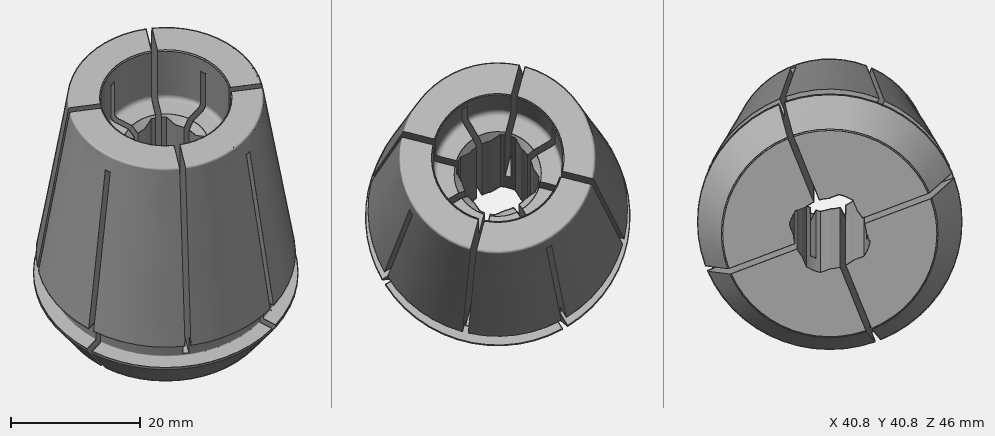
import cadquery as cq
import math

height = 46.0
flange_diameter = 40.8
flange_radius = flange_diameter / 2

base_radius = 16.65
base_edge_chamfer = 0.15
flange_top = 7.05
flange_rim_height = 0.5

groove_radius = 18.1
groove_top = 11.2
groove_top_fillet = 0.35
groove_bottom_fillet = 0.2

taper_base_radius = 20.0
taper_half_angle = 8.0
top_edge_fillet = 0.4

bore_radius = 10.05
bore_floor = 35.3
bore_floor_fillet = 0.85
bore_mouth_chamfer = 0.2

lead_in_radius = 6.7
lead_in_slope = 45.0
hole_radius = 5.6
square_width = 10.6
square_corner_radius = 6.4

slit_width = 0.9
lower_slit_top = 42.95
upper_slit_floor = 7.55
slit_length = flange_diameter + slit_width

select_margin = 0.005

taper_height = height - groove_top
taper_top_radius = taper_base_radius - taper_height * math.tan(math.radians(taper_half_angle))
lead_in_depth = (lead_in_radius - hole_radius) * math.tan(math.radians(lead_in_slope))


def ring_edges(body, radius, z):
    """Select the circular edge of the given radius, centred on the axis, at height z."""
    def boxed(half_width):
        low = (-half_width, -half_width, z - select_margin)
        high = (half_width, half_width, z + select_margin)
        return cq.selectors.BoxSelector(low, high, boundingbox=True)

    return body.edges(boxed(radius + select_margin) - boxed(radius - select_margin))


def turned_body():
    """Revolve the collet: flange, groove, taper, upper bore and conical lead-in."""
    profile = (
        cq.Workplane("XZ")
        .moveTo(hole_radius, 0)
        .lineTo(base_radius, 0)
        .lineTo(flange_radius, flange_top - flange_rim_height)
        .lineTo(flange_radius, flange_top)
        .lineTo(groove_radius, flange_top)
        .lineTo(groove_radius, groove_top)
        .lineTo(taper_base_radius, groove_top)
        .lineTo(taper_top_radius, height)
        .lineTo(bore_radius, height)
        .lineTo(bore_radius, bore_floor)
        .lineTo(lead_in_radius, bore_floor)
        .lineTo(hole_radius, bore_floor - lead_in_depth)
        .close()
    )
    body = profile.revolve(360, (0, 0, 0), (0, 1, 0))
    body = ring_edges(body, base_radius, 0).chamfer(base_edge_chamfer)
    body = ring_edges(body, groove_radius, flange_top).fillet(groove_bottom_fillet)
    body = ring_edges(body, groove_radius, groove_top).fillet(groove_top_fillet)
    body = ring_edges(body, taper_top_radius, height).fillet(top_edge_fillet)
    body = ring_edges(body, bore_radius, bore_floor).fillet(bore_floor_fillet)
    return ring_edges(body, bore_radius, height).chamfer(bore_mouth_chamfer)


def drive_square():
    """Square broach with its corners rounded about the collet axis."""
    square = cq.Workplane("XY").rect(square_width, square_width).extrude(bore_floor)
    corner_limit = cq.Workplane("XY").circle(square_corner_radius).extrude(bore_floor)
    return square.intersect(corner_limit)


def crossed_slits(bottom, top, angle):
    """Two perpendicular slits through the axis, turned by angle about Z."""
    slits = cq.Workplane("XY").workplane(offset=bottom)
    slits = slits.rect(slit_length, slit_width).extrude(top - bottom)
    slits = slits.union(slits.rotate((0, 0, 0), (0, 0, 1), 90))
    return slits.rotate((0, 0, 0), (0, 0, 1), angle)


lower_slits = crossed_slits(0, lower_slit_top, 0)
upper_slits = crossed_slits(upper_slit_floor, height, 45)
result = turned_body().cut(drive_square()).cut(lower_slits).cut(upper_slits)